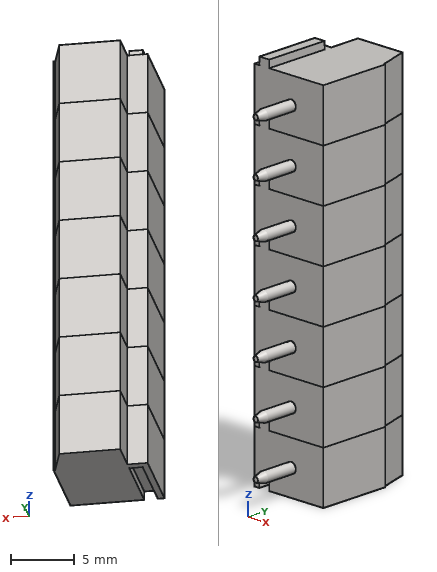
import cadquery as cq

OVERALL_HEIGHT = 35.7
MODULE_COUNT = 7
MODULE_PITCH = 5.0

HOUSING_WIDTH = 7.5
HOUSING_DEPTH = 10.0
STEP_DEPTH = 3.0
STEP_WIDTH = 1.6
SHOULDER_WIDTH = 0.15
SLOPE_WIDTH = 0.9

TAB_LEFT = 0.55
TAB_WIDTH = STEP_WIDTH - TAB_LEFT
TAB_LENGTH = 6.25
TAB_HEIGHT = OVERALL_HEIGHT - MODULE_COUNT * MODULE_PITCH

PIN_X = 4.0
PIN_DIAMETER = 1.0
PIN_LENGTH = 4.0
PIN_TIP_LENGTH = 0.85
PIN_TIP_DIAMETER = 0.5


def make_housing_block():
    """Housing outline extruded over one pitch."""
    step_y = HOUSING_DEPTH - STEP_DEPTH
    slope_foot_x = HOUSING_WIDTH - SHOULDER_WIDTH
    outline = [
        (0, 0),
        (HOUSING_WIDTH, 0),
        (HOUSING_WIDTH, step_y),
        (slope_foot_x, step_y),
        (slope_foot_x - SLOPE_WIDTH, HOUSING_DEPTH),
        (STEP_WIDTH, HOUSING_DEPTH),
        (STEP_WIDTH, step_y),
        (0, step_y),
    ]
    return cq.Workplane("XY").polyline(outline).close().extrude(MODULE_PITCH)


def make_tab(base_z):
    """Bar that forms the tab, and the slot when it is cut away."""
    bar = cq.Workplane("XY").box(TAB_WIDTH, TAB_LENGTH, TAB_HEIGHT, centered=False)
    return bar.translate((TAB_LEFT, 0, base_z))


def make_pin():
    """Round pin with a tapered tip, revolved about its own axis."""
    radius = PIN_DIAMETER / 2
    tip_radius = PIN_TIP_DIAMETER / 2
    profile = [
        (0, 0),
        (radius, 0),
        (radius, PIN_TIP_LENGTH - PIN_LENGTH),
        (tip_radius, -PIN_LENGTH),
        (0, -PIN_LENGTH),
    ]
    pin = cq.Workplane("XY").polyline(profile).close().revolve(360, (0, 0), (0, 1))
    return pin.translate((PIN_X, 0, MODULE_PITCH / 2))


def make_module(base_z):
    """One terminal module: housing with tab, slot and pin."""
    module = make_housing_block().cut(make_tab(0))
    module = module.union(make_tab(MODULE_PITCH)).union(make_pin())
    return module.translate((0, 0, base_z))


modules = []
for index in range(MODULE_COUNT):
    modules.append(make_module(index * MODULE_PITCH))

result = cq.Compound.makeCompound([module.val() for module in modules])